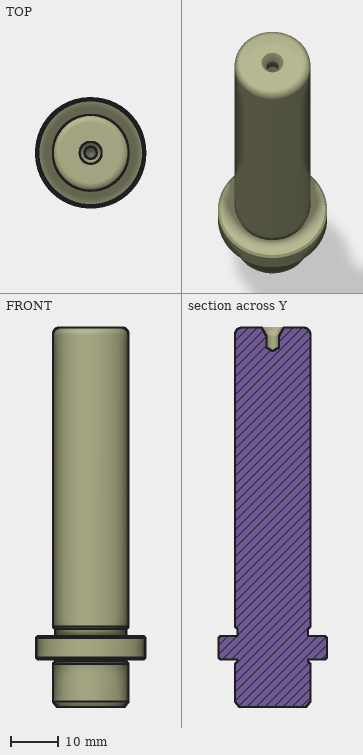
import cadquery as cq
import math

total_length = 80.0
shaft_radius = 8.0
top_fillet = 1.5

foot_chamfer_width = 1.0
foot_chamfer_height = 1.2
spigot_top = 9.6

collar_radius = 11.5
collar_bottom = 10.0
collar_thickness = 5.0
collar_chamfer = 0.5
collar_top = collar_bottom + collar_thickness

neck_radius = 7.5
neck_top = 16.5
neck_chamfer = shaft_radius - neck_radius

centre_mouth_radius = 2.3
centre_drill_radius = 1.3
centre_drill_length = 2.4
countersink_angle = 60.0
drill_point_angle = 120.0

def cone_depth(radius_change, included_angle):
    """Axial length of a cone that changes radius by the given amount."""
    return radius_change / math.tan(math.radians(included_angle / 2))

def make_body():
    """Revolve the stepped outer profile around Z."""
    fillet_start = total_length - top_fillet
    fillet_inner = shaft_radius - top_fillet
    fillet_offset = top_fillet * math.sqrt(0.5)
    fillet_middle = (fillet_inner + fillet_offset, fillet_start + fillet_offset)
    return (
        cq.Workplane("XZ")
        .moveTo(0, 0)
        .lineTo(shaft_radius - foot_chamfer_width, 0)
        .lineTo(shaft_radius, foot_chamfer_height)
        .lineTo(shaft_radius, spigot_top - neck_chamfer)
        .lineTo(neck_radius, spigot_top)
        .lineTo(neck_radius, collar_bottom)
        .lineTo(collar_radius - collar_chamfer, collar_bottom)
        .lineTo(collar_radius, collar_bottom + collar_chamfer)
        .lineTo(collar_radius, collar_top - collar_chamfer)
        .lineTo(collar_radius - collar_chamfer, collar_top)
        .lineTo(neck_radius, collar_top)
        .lineTo(neck_radius, neck_top)
        .lineTo(shaft_radius, neck_top + neck_chamfer)
        .lineTo(shaft_radius, fillet_start)
        .threePointArc(fillet_middle, (fillet_inner, total_length))
        .lineTo(0, total_length)
        .close()
        .revolve(360, (0, 0), (0, 1))
    )

def make_centre_hole():
    """Countersink, pilot bore and drill point as one revolved cutter."""
    countersink_bottom = total_length - cone_depth(
        centre_mouth_radius - centre_drill_radius, countersink_angle
    )
    bore_bottom = countersink_bottom - centre_drill_length
    drill_tip = bore_bottom - cone_depth(centre_drill_radius, drill_point_angle)
    return (
        cq.Workplane("XZ")
        .moveTo(0, total_length)
        .lineTo(centre_mouth_radius, total_length)
        .lineTo(centre_drill_radius, countersink_bottom)
        .lineTo(centre_drill_radius, bore_bottom)
        .lineTo(0, drill_tip)
        .close()
        .revolve(360, (0, 0), (0, 1))
    )

result = make_body().cut(make_centre_hole())